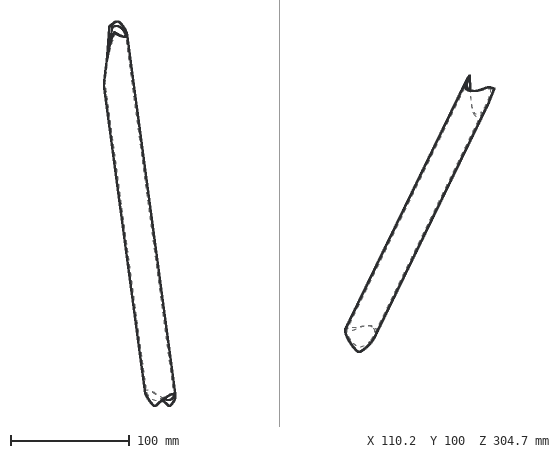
import cadquery as cq
import math

TUBE_RADIUS = 12.642
WALL = 1.457

LOWER_JOINT = cq.Vector(0, 0, 0)
UPPER_JOINT = cq.Vector(-94.449, 75.57, 305.085)
TUBE_OVERRUN = 25.0
SEAM_ANGLE = -40.0

LOWER_RAIL_RADIUS = 12.693
UPPER_RAIL_RADIUS = 13.85
UPPER_RAIL_RISE = 3.724
RAIL_LENGTH = 600.0

NEIGHBOUR_RADIUS = 15.761
NEIGHBOUR_OFFSET = cq.Vector(-4.363, -5.225, 0)
NEIGHBOUR_DIRECTION = cq.Vector(-0.114, -0.408, -1.0)
NEIGHBOUR_OVERRUN = 65.0
NEIGHBOUR_LENGTH = 400.0


def rod(start, direction, length, radius):
    return cq.Workplane(obj=cq.Solid.makeCylinder(radius, length, start, direction))


def raw_tube():
    span = UPPER_JOINT - LOWER_JOINT
    axis = span.normalized()
    x_side = (cq.Vector(1, 0, 0) - axis * axis.x).normalized()
    y_side = axis.cross(x_side)
    angle = math.radians(SEAM_ANGLE)
    seam = x_side * math.cos(angle) + y_side * math.sin(angle)
    start = LOWER_JOINT - axis * TUBE_OVERRUN
    end_plane = cq.Plane(start.toTuple(), seam.toTuple(), axis.toTuple())
    ring = cq.Workplane(end_plane).circle(TUBE_RADIUS).circle(TUBE_RADIUS - WALL)
    return ring.extrude(span.Length + 2 * TUBE_OVERRUN)


def rail(centre, radius):
    start = centre - cq.Vector(RAIL_LENGTH / 2, 0, 0)
    return rod(start, cq.Vector(1, 0, 0), RAIL_LENGTH, radius)


def neighbour_tube():
    direction = NEIGHBOUR_DIRECTION.normalized()
    start = UPPER_JOINT + NEIGHBOUR_OFFSET - direction * NEIGHBOUR_OVERRUN
    return rod(start, direction, NEIGHBOUR_LENGTH, NEIGHBOUR_RADIUS)


def main_piece(body):
    return cq.Workplane(obj=max(body.solids().vals(), key=lambda solid: solid.Volume()))


upper_rail_centre = UPPER_JOINT + cq.Vector(0, 0, UPPER_RAIL_RISE)

coped_tube = raw_tube().cut(rail(LOWER_JOINT, LOWER_RAIL_RADIUS))
coped_tube = coped_tube.cut(rail(upper_rail_centre, UPPER_RAIL_RADIUS))
coped_tube = coped_tube.cut(neighbour_tube())

result = main_piece(coped_tube)